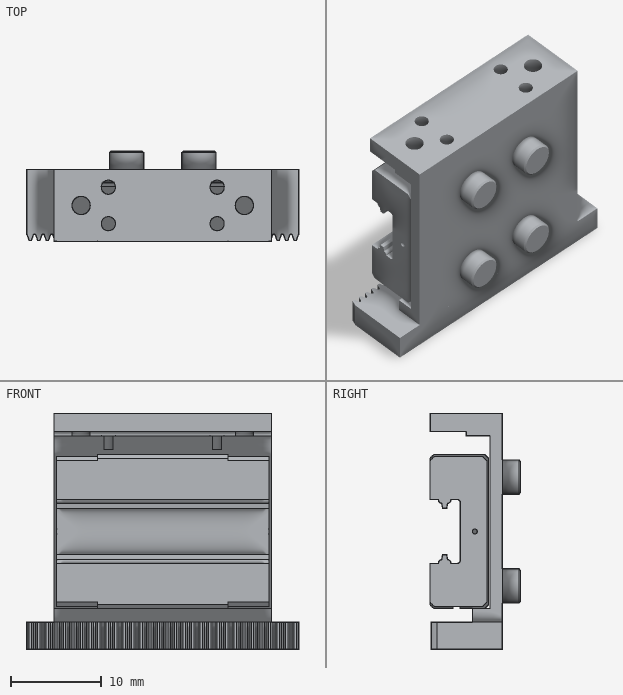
import cadquery as cq
import math

total_height = 26.0

rack_length = 30.0
rack_height = 3.0
rack_module = 0.3
rack_tip_depth = 7.85
pressure_angle = math.radians(20)
tooth_pitch = math.pi * rack_module
tooth_addendum = rack_module
tooth_dedendum = 1.25 * rack_module
tooth_count = 32

bracket_length = 24.0
bracket_depth = 7.95
back_plate_thickness = 1.38
flange_thickness = 2.0
flange_step_height = 0.48
flange_step_depth = 4.0
foot_depth = 3.3
foot_height = 1.5

dowel_diameter = 2.0
dowel_x = 9.0
dowel_y = -4.0
tapped_diameter = 1.55
tapped_x = 6.0
rear_tapped_y = -1.98
front_tapped_y = -6.0
rear_tapped_depth = 4.0

carriage_length = 23.4
carriage_core_length = 14.4
carriage_back = 1.5
carriage_front = 7.98
carriage_bottom = rack_height + foot_height
carriage_half_height = 8.5
carriage_mid_height = carriage_bottom + carriage_half_height
core_chamfer = 0.42
end_inset = 0.2
end_chamfer = 0.48

channel_floor = 4.65
channel_half_height = 3.5
channel_corner_radius = 0.3

ridge_center = 6.35
ridge_height = 0.95
ridge_half_base = 0.7
ridge_shoulder_height = 0.42
ridge_half_shoulder = 0.33
ridge_half_tip = 0.25

groove_back = 4.68
groove_width = 0.75

lube_diameter = 0.55
lube_depth = 0.9
lube_y = -3.03

screw_head_diameter = 3.8
screw_head_height = 2.0
screw_head_chamfer = 0.18
screw_x = 4.0
screw_z = 6.0


def extrude_along_x(profile, length):
    """Extrude a YZ profile by the given length, centred on X = 0."""
    return profile.extrude(length / 2, both=True)


def make_rack():
    root_y = -(rack_tip_depth - tooth_addendum - tooth_dedendum)
    tip_y = -rack_tip_depth
    half_pitch_width = tooth_pitch / 4
    half_tip = half_pitch_width - tooth_addendum * math.tan(pressure_angle)
    half_root = half_pitch_width + tooth_dedendum * math.tan(pressure_angle)

    outline = [(rack_length / 2, 0), (-rack_length / 2, 0), (-rack_length / 2, root_y)]
    for tooth in range(tooth_count):
        center = (tooth - (tooth_count - 1) / 2) * tooth_pitch
        outline += [
            (center - half_root, root_y),
            (center - half_tip, tip_y),
            (center + half_tip, tip_y),
            (center + half_root, root_y),
        ]
    outline.append((rack_length / 2, root_y))
    return cq.Workplane("XY").polyline(outline).close().extrude(rack_height)


def make_bracket():
    foot_top = rack_height + foot_height
    flange_bottom = total_height - flange_thickness
    step_bottom = flange_bottom - flange_step_height
    profile = (
        cq.Workplane("YZ")
        .moveTo(0, rack_height)
        .lineTo(0, total_height)
        .lineTo(-bracket_depth, total_height)
        .lineTo(-bracket_depth, flange_bottom)
        .lineTo(-flange_step_depth, flange_bottom)
        .lineTo(-flange_step_depth, step_bottom)
        .lineTo(-back_plate_thickness, step_bottom)
        .lineTo(-back_plate_thickness, foot_top)
        .lineTo(-foot_depth, foot_top)
        .lineTo(-foot_depth, rack_height)
        .close()
    )
    bracket = extrude_along_x(profile, bracket_length)

    flange_top = cq.Workplane("XY", origin=(0, 0, total_height))
    through_depth = total_height - step_bottom
    hole_kinds = [
        (dowel_x, dowel_y, dowel_diameter, through_depth),
        (tapped_x, rear_tapped_y, tapped_diameter, rear_tapped_depth),
        (tapped_x, front_tapped_y, tapped_diameter, through_depth),
    ]
    for x, y, diameter, depth in hole_kinds:
        holes = flange_top.pushPoints([(-x, y), (x, y)]).circle(diameter / 2).extrude(-depth)
        bracket = bracket.cut(holes)
    return bracket


def carriage_section(length, inset, chamfer):
    """Chamfered block, inset at the back, top and bottom but not at the front."""
    depth = carriage_front - carriage_back - inset
    height = 2 * (carriage_half_height - inset)
    center_y = -carriage_front + depth / 2
    return (
        cq.Workplane("XY", origin=(0, center_y, carriage_mid_height))
        .box(length, depth, height)
        .edges("|X")
        .chamfer(chamfer)
    )


def make_rail_channel():
    height = 2 * channel_half_height
    depth = carriage_front - channel_floor
    center_y = -channel_floor - depth / 2
    return (
        cq.Workplane("XY", origin=(0, center_y, carriage_mid_height))
        .box(carriage_length, depth, height)
        .edges("|X and >Y")
        .fillet(channel_corner_radius)
    )


def make_ridge(side):
    """Ridge with rounded shoulders on the upper (side = 1) or lower (side = -1) wall."""
    wall = side * channel_half_height
    shoulder = wall - side * ridge_shoulder_height
    tip = wall - side * ridge_height
    shoulder_width = ridge_half_base - ridge_half_shoulder
    arc_share = math.sin(math.pi / 4)
    half_arc_mid = ridge_half_shoulder + shoulder_width * arc_share
    arc_mid = wall - side * ridge_shoulder_height * arc_share
    profile = (
        cq.Workplane("YZ", origin=(0, -ridge_center, carriage_mid_height))
        .moveTo(-ridge_half_base, wall)
        .threePointArc((-half_arc_mid, arc_mid), (-ridge_half_shoulder, shoulder))
        .lineTo(-ridge_half_tip, tip)
        .lineTo(ridge_half_tip, tip)
        .lineTo(ridge_half_shoulder, shoulder)
        .threePointArc((half_arc_mid, arc_mid), (ridge_half_base, wall))
        .close()
    )
    return extrude_along_x(profile, carriage_length)


def make_carriage():
    core = carriage_section(carriage_core_length, 0, core_chamfer)
    ends = carriage_section(carriage_length, end_inset, end_chamfer)
    carriage = core.union(ends).cut(make_rail_channel())
    for side in (1, -1):
        carriage = carriage.union(make_ridge(side))

    groove = cq.Workplane("XY").box(
        carriage_core_length, groove_width, end_inset, centered=(True, False, False)
    )
    groove_position = (0, -groove_back - groove_width, carriage_bottom)
    carriage = carriage.cut(groove.translate(groove_position))

    for side in (1, -1):
        lube_hole = (
            cq.Workplane("YZ", origin=(side * carriage_length / 2, lube_y, carriage_mid_height))
            .circle(lube_diameter / 2)
            .extrude(-side * lube_depth)
        )
        carriage = carriage.cut(lube_hole)
    return carriage


def make_screw_head(x, z):
    return (
        cq.Workplane("XZ", origin=(x, 0, z))
        .circle(screw_head_diameter / 2)
        .extrude(-screw_head_height)
        .faces(">Y")
        .chamfer(screw_head_chamfer)
    )


rack = make_rack()
bracket = make_bracket()
carriage = make_carriage()
screw_heads = [
    make_screw_head(x, carriage_mid_height + z)
    for x in (-screw_x, screw_x)
    for z in (-screw_z, screw_z)
]

result = cq.Compound.makeCompound(
    [rack.val(), bracket.val(), carriage.val(), *[head.val() for head in screw_heads]]
)